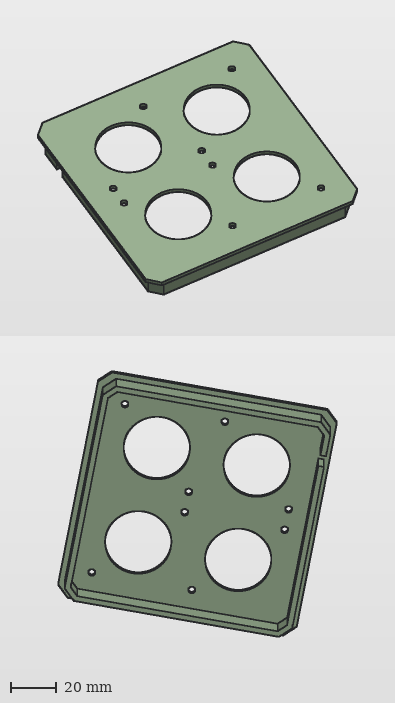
import cadquery as cq
import math

plate_side = 106.31
plate_thickness = 2.0
plate_corner_cut = 5.2

rim_inset = 2.5
rim_side = plate_side - 2 * rim_inset
rim_height = 10.0
rim_thickness = 2.5
rim_corner_cut = 5.0
rim_inner_side = rim_side - 2 * rim_thickness
rim_inner_corner_cut = rim_corner_cut - rim_thickness * (2 - math.sqrt(2))

gap_width = 5.0
gap_center_x = -33.0

opening_diameter = 29.0
opening_pitch = 44.5
screw_hole_diameter = 3.0
screw_spacing = 34.85

plate_bottom = rim_height


def square_block(side, height, bottom):
    """Square block centred on the Z axis, standing on the given height."""
    return cq.Workplane("XY").workplane(offset=bottom).rect(side, side).extrude(height)


def make_plate():
    """Square plate with cut corners, round openings and screw holes."""
    plate = square_block(plate_side, plate_thickness, plate_bottom)
    plate = plate.edges("|Z").chamfer(plate_corner_cut)

    opening_centers = []
    screw_centers = []
    for side_x in (-1, 1):
        for side_y in (-1, 1):
            center_x = side_x * opening_pitch / 2
            center_y = side_y * opening_pitch / 2
            opening_centers.append((center_x, center_y))
            for up in (-1, 1):
                screw_x = center_x + up * side_x * screw_spacing / 2
                screw_y = center_y + up * screw_spacing / 2
                screw_centers.append((screw_x, screw_y))

    plate = plate.faces(">Z").workplane().pushPoints(opening_centers).hole(opening_diameter)
    plate = plate.faces(">Z").workplane().pushPoints(screw_centers).hole(screw_hole_diameter)
    return plate


def make_rim():
    """Square wall with cut corners, interrupted by one gap in the front."""
    rim = square_block(rim_side, rim_height, 0).edges("|Z").chamfer(rim_corner_cut)
    inside = square_block(rim_inner_side, rim_height, 0).edges("|Z").chamfer(rim_inner_corner_cut)
    gap_center_y = -(rim_side - rim_thickness) / 2
    gap = (
        cq.Workplane("XY")
        .center(gap_center_x, gap_center_y)
        .rect(gap_width, rim_thickness)
        .extrude(rim_height)
    )
    return rim.cut(inside).cut(gap)


plate = make_plate()
rim = make_rim()

result = cq.Compound.makeCompound([plate.val(), rim.val()])